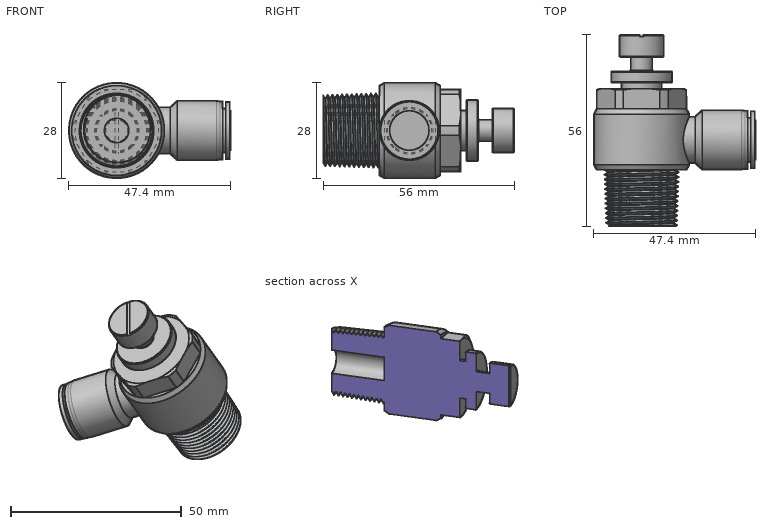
import cadquery as cq
import math


SHANK_TOP = 16.45
BODY_TOP = 34.3
HEX_TOP = 40.25
COLLAR_TOP = 41.95
LOCK_NUT_TOP = 45.4
SHOULDER_TOP = 45.65
STEM_TOP = 49.5
TOTAL_LENGTH = 56.0

BODY_RADIUS = 14.0
BODY_CHAMFER_WIDTH = 0.85
BODY_CHAMFER_HEIGHT = 1.5

HEX_ACROSS_FLATS = 24.1
HEX_CORNER_RADIUS = BODY_RADIUS - BODY_CHAMFER_WIDTH
HEX_CHAMFER_WIDTH = 0.95
HEX_CHAMFER_HEIGHT = 0.4

COLLAR_RADIUS = 5.95
LOCK_NUT_RADIUS = 8.95
SHOULDER_RADIUS = 3.3
STEM_RADIUS = 3.2
KNOB_RADIUS = 6.5
EDGE_CHAMFER = 0.3
SLOT_WIDTH = 1.0
SLOT_DEPTH = 0.45

THREAD_TURNS = 11
THREAD_SPAN = 15.5
THREAD_PITCH = THREAD_SPAN / THREAD_TURNS
EXTRA_TURNS = 2
THREAD_TAPER = 1 / 32
THREAD_ROOT_RADIUS = 9.3
THREAD_DEPTH = 1.1
THREAD_FIRST_CREST = 0.3
THREAD_OVERLAP = 0.05
RIDGE_GAP = 0.05
THREAD_RUNOUT = 4.5
BORE_RADIUS = 3.6

SOCKET_AXIS_Y = 25.25
NECK_END = 15.7
CONE_END = 17.75
BARREL_END = 29.2
BEVEL_END = 30.2
SLEEVE_END = 31.1
GROOVE_END = 31.9
RING_END = 33.15
SOCKET_END = 33.4
NECK_RADIUS = 6.85
BARREL_RADIUS = 8.75
SLEEVE_RADIUS = 8.55
GROOVE_RADIUS = 6.5
RING_RADIUS = 8.4
RIM_RADIUS = 5.75


def disc(radius, bottom, top):
    """Cylinder about the valve axis between two heights."""
    return cq.Workplane("XZ", origin=(0, bottom, 0)).circle(radius).extrude(bottom - top)


def chamfered_disc(radius, bottom, top, width, height):
    """Disc about the valve axis with both rims chamfered."""
    profile = [
        (0, bottom),
        (radius - width, bottom),
        (radius, bottom + height),
        (radius, top - height),
        (radius - width, top),
        (0, top),
    ]
    return cq.Workplane("XY").polyline(profile).close().revolve(360, (0, 0), (0, 1))


def make_hexagon():
    """Hexagon with flats facing +Z and -Z, rounded corners and a bevelled top."""
    across_corners = HEX_ACROSS_FLATS / math.cos(math.pi / 6)
    prism = (
        cq.Workplane("XZ", origin=(0, BODY_TOP, 0))
        .polygon(6, across_corners)
        .extrude(BODY_TOP - HEX_TOP)
    )
    turned_profile = [
        (0, BODY_TOP),
        (HEX_CORNER_RADIUS, BODY_TOP),
        (HEX_CORNER_RADIUS, HEX_TOP - HEX_CHAMFER_HEIGHT),
        (HEX_CORNER_RADIUS - HEX_CHAMFER_WIDTH, HEX_TOP),
        (0, HEX_TOP),
    ]
    blank = cq.Workplane("XY").polyline(turned_profile).close().revolve(360, (0, 0), (0, 1))
    return prism.intersect(blank)


def make_adjusting_screw():
    """Collar, lock nut, shoulder, stem and slotted knob above the hexagon."""
    collar = disc(COLLAR_RADIUS, HEX_TOP, COLLAR_TOP)
    lock_nut = chamfered_disc(LOCK_NUT_RADIUS, COLLAR_TOP, LOCK_NUT_TOP, EDGE_CHAMFER, EDGE_CHAMFER)
    shoulder = disc(SHOULDER_RADIUS, LOCK_NUT_TOP, SHOULDER_TOP)
    stem = disc(STEM_RADIUS, SHOULDER_TOP, STEM_TOP)
    knob = chamfered_disc(KNOB_RADIUS, STEM_TOP, TOTAL_LENGTH, EDGE_CHAMFER, EDGE_CHAMFER)
    slot = cq.Workplane("XY").box(SLOT_WIDTH, 2 * SLOT_DEPTH, 2 * KNOB_RADIUS)
    knob = knob.cut(slot.translate((0, TOTAL_LENGTH, 0)))
    return collar.union(lock_nut).union(shoulder).union(stem).union(knob)


def make_threaded_shank():
    """Tapered core with a right-handed V ridge, trimmed flat at both ends."""
    helix_start = THREAD_FIRST_CREST - THREAD_PITCH
    helix_height = (THREAD_TURNS + EXTRA_TURNS) * THREAD_PITCH
    core_bottom = -THREAD_RUNOUT
    core_top = SHANK_TOP + THREAD_RUNOUT

    def root_radius(height):
        return THREAD_ROOT_RADIUS + THREAD_TAPER * height

    core_profile = [
        (0, core_bottom),
        (root_radius(core_bottom), core_bottom),
        (root_radius(core_top), core_top),
        (0, core_top),
    ]
    core = cq.Workplane("XZ").polyline(core_profile).close().revolve(360, (0, 0), (0, 1))

    start_radius = root_radius(helix_start)
    half_width = (THREAD_PITCH - RIDGE_GAP) / 2
    ridge_section = [
        (start_radius - THREAD_OVERLAP, helix_start - half_width),
        (start_radius + THREAD_DEPTH, helix_start),
        (start_radius - THREAD_OVERLAP, helix_start + half_width),
    ]
    axis = cq.Vector(0, 0, 1)
    start = cq.Vector(0, 0, helix_start)
    taper_angle = math.degrees(math.atan(THREAD_TAPER))
    helix = cq.Wire.makeHelix(THREAD_PITCH, helix_height, start_radius, start, axis, taper_angle)
    ridge = cq.Workplane("XZ").polyline(ridge_section).close().sweep(cq.Workplane(helix), isFrenet=True)

    envelope = cq.Workplane("XY").circle(BODY_RADIUS).extrude(SHANK_TOP)
    shank = core.union(ridge).intersect(envelope)
    return shank.rotate((0, 0, 0), (1, 0, 0), -90)


def make_tube_socket():
    """Stepped socket revolved about an axis parallel to X."""
    profile = [
        (0, 0),
        (0, NECK_RADIUS),
        (NECK_END, NECK_RADIUS),
        (CONE_END, BARREL_RADIUS),
        (BARREL_END, BARREL_RADIUS),
        (BEVEL_END, SLEEVE_RADIUS),
        (SLEEVE_END, SLEEVE_RADIUS),
        (SLEEVE_END, GROOVE_RADIUS),
        (GROOVE_END, GROOVE_RADIUS),
        (GROOVE_END, RING_RADIUS),
        (RING_END, RING_RADIUS),
        (RING_END, RIM_RADIUS),
        (SOCKET_END, RIM_RADIUS),
        (SOCKET_END, 0),
    ]
    socket = cq.Workplane("XY").polyline(profile).close().revolve(360, (0, 0), (1, 0))
    return socket.translate((0, SOCKET_AXIS_Y, 0))


body = chamfered_disc(BODY_RADIUS, SHANK_TOP, BODY_TOP, BODY_CHAMFER_WIDTH, BODY_CHAMFER_HEIGHT)
bore = disc(BORE_RADIUS, 0, SHANK_TOP)
result = (
    body.union(make_tube_socket())
    .union(make_hexagon())
    .union(make_adjusting_screw())
    .union(make_threaded_shank())
    .cut(bore)
)